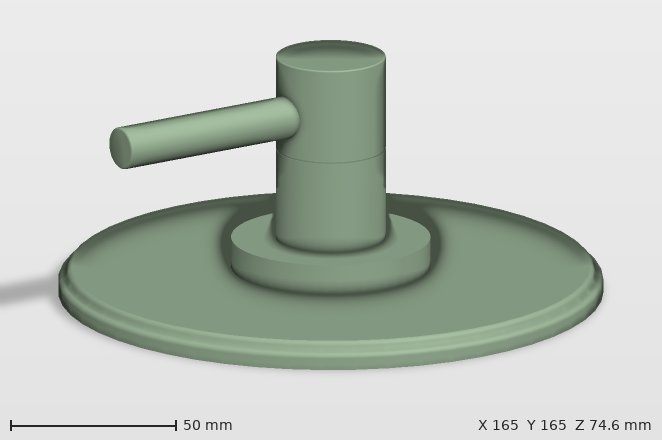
import cadquery as cq

plate_radius = 82.5
plate_height = 8.1
upper_round_size = 1.3
cove_size = 1.7
cove_radius = 2.3
edge_round_height = 1.5
edge_round_width = 1.0

flange_radius = 30.2
flange_top = 17.3

post_radius = 16.7
total_height = 74.6
post_edge_fillet = 0.5
groove_width = 0.5
groove_depth = 0.3
groove_height = 45.5

lever_diameter = 12.9
lever_height = 57.8
lever_reach = 76.3
lever_edge_fillet = 0.7


def make_plate():
    """Revolved plate: low round, cove and upper round step in toward the top face."""
    cove_outer = plate_radius - edge_round_width
    cove_inner = cove_outer - cove_size
    top_face_radius = cove_inner - upper_round_size
    cove_top = plate_height - upper_round_size
    cove_bottom = cove_top - cove_size
    wall_height = cove_bottom - edge_round_height
    profile = (
        cq.Workplane("XZ")
        .lineTo(plate_radius, 0)
        .lineTo(plate_radius, wall_height)
        .tangentArcPoint((cove_outer, cove_bottom), relative=False)
        .radiusArc((cove_inner, cove_top), cove_radius)
        .tangentArcPoint((top_face_radius, plate_height), relative=False)
        .lineTo(0, plate_height)
        .close()
    )
    return profile.revolve(360, (0, 0, 0), (0, 1, 0))


def make_flange():
    return cq.Workplane("XY").circle(flange_radius).extrude(flange_top)


def make_post():
    post = cq.Workplane("XY").circle(post_radius).extrude(total_height)
    post = post.faces(">Z").edges().fillet(post_edge_fillet)
    groove = (
        cq.Workplane("XY")
        .workplane(offset=groove_height - groove_width / 2)
        .circle(post_radius)
        .circle(post_radius - groove_depth)
        .extrude(groove_width)
    )
    return post.cut(groove)


def make_lever():
    lever = (
        cq.Workplane("XZ")
        .center(0, lever_height)
        .circle(lever_diameter / 2)
        .extrude(lever_reach)
    )
    return lever.faces("<Y").edges().fillet(lever_edge_fillet)


result = make_plate().union(make_flange()).union(make_post()).union(make_lever())